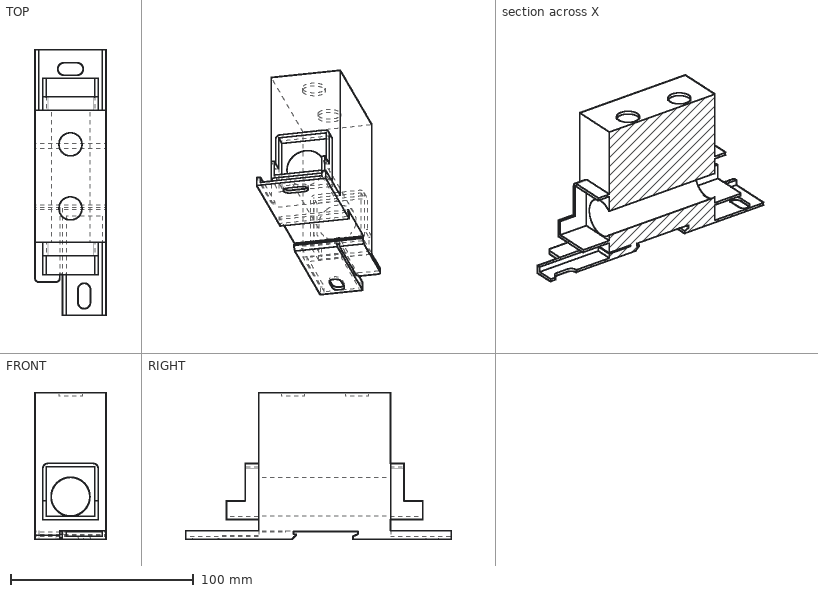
import cadquery as cq

width = 39.0
length = 145.5
height = 80.5
half_width = width / 2
half_length = length / 2

body_front = -32.7
body_back = 39.5
body_length = body_back - body_front
body_mid = (body_front + body_back) / 2

flange_height = 4.8
flange_floor = 1.7
flange_wall = 2.2
front_flange_left = -4.5
slot_length = 13.8
slot_width = 6.7
slot_inset = 10.6

relief_height = 0.5
relief_depth = 14.5

tongue_right = -5.8
tongue_thickness = 2.2
tongue_reach = 21.8
tongue_radius = 2.2

collar_half_width = 15.1
collar_wall = 1.7
collar_bottom = 10.9
collar_top = 41.6
collar_radius = 2.6
collar_depth = 7.4
tray_depth = 17.8
tray_top = 21.1
bore_diameter = 21.1
bore_z = 23.4

screw_diameter = 12.7
screw_spacing = 35.0
screw_depth = 1.7

groove_depth = 4.4
groove_back = 21.5
groove_front = -13.7
back_lip_y = 18.8
back_lip_low = 1.7
front_lip_y = -12.2
front_lip_low = 2.3
lip_top = 2.9
front_mouth_y = front_lip_y - front_lip_low


def box(x0, x1, y0, y1, z0, z1):
    """Axis-aligned box between two opposite corners."""
    return cq.Workplane("XY").box(x1 - x0, y1 - y0, z1 - z0, centered=False).translate((x0, y0, z0))


def make_flange(x0, x1, y0, y1, slot_y, slot_angle):
    """U-channel flange with one mounting slot."""
    channel = box(x0 + flange_wall, x1 - flange_wall, y0, y1, flange_floor, flange_height)
    slot = (
        cq.Workplane("XY")
        .center((x0 + x1) / 2, slot_y)
        .slot2D(slot_length, slot_width, slot_angle)
        .extrude(flange_height)
    )
    return box(x0, x1, y0, y1, 0, flange_height).cut(channel).cut(slot)


def make_collar():
    """Front collar: a square frame standing on a longer open tray."""
    tray_front = body_front - tray_depth
    outer = box(-collar_half_width, collar_half_width, tray_front, body_front, collar_bottom, collar_top)
    outer = outer.edges("|Y and >Z").fillet(collar_radius)
    inner_half_width = collar_half_width - collar_wall
    inner = box(
        -inner_half_width, inner_half_width, tray_front, body_front,
        collar_bottom + collar_wall, collar_top - collar_wall,
    )
    above_tray = box(
        -half_width, half_width, tray_front, body_front - collar_depth, tray_top, collar_top
    )
    return outer.cut(inner).cut(above_tray)


def make_tongue():
    """Rounded plate reaching forward from the block."""
    plate = box(-half_width, tongue_right, body_front - tongue_reach, body_front, 0, tongue_thickness)
    return plate.edges("|Z and <Y").fillet(tongue_radius)


def make_groove():
    """Rail groove profile, cut across the full width."""
    profile = [
        (back_lip_y, 0),
        (back_lip_y, back_lip_low),
        (groove_back, lip_top),
        (groove_back, groove_depth),
        (groove_front, groove_depth),
        (groove_front, lip_top),
        (front_lip_y, lip_top),
        (front_lip_y, front_lip_low),
        (front_mouth_y, 0),
    ]
    return cq.Workplane("YZ").polyline(profile).close().extrude(half_width, both=True)


result = box(-half_width, half_width, body_front, body_back, 0, height)

front_slot_y = -half_length + slot_inset
back_slot_y = half_length - slot_inset
result = result.union(make_flange(front_flange_left, half_width, -half_length, body_front, front_slot_y, 90))
result = result.union(make_flange(-half_width, half_width, body_back, half_length, back_slot_y, 0))

front_collar = make_collar()
back_collar = front_collar.mirror("XZ", (0, body_mid, 0))
result = result.union(make_tongue()).union(front_collar).union(back_collar)

bore = (
    cq.Workplane("XZ", origin=(0, body_back, bore_z))
    .circle(bore_diameter / 2)
    .extrude(body_length)
)
result = result.cut(bore)

slit = box(tongue_right, front_flange_left, body_front, groove_front, 0, flange_height)
result = result.cut(make_groove()).cut(slit)

relief = box(
    front_flange_left + flange_wall, half_width - flange_wall,
    body_front, body_front + relief_depth,
    flange_height - relief_height, flange_height,
)
result = result.cut(relief)

screw_holes = (
    cq.Workplane("XY", origin=(0, body_mid, height - screw_depth))
    .rarray(1.5, screw_spacing, 1, 2)
    .circle(screw_diameter / 2)
    .extrude(screw_depth)
)
result = result.cut(screw_holes)